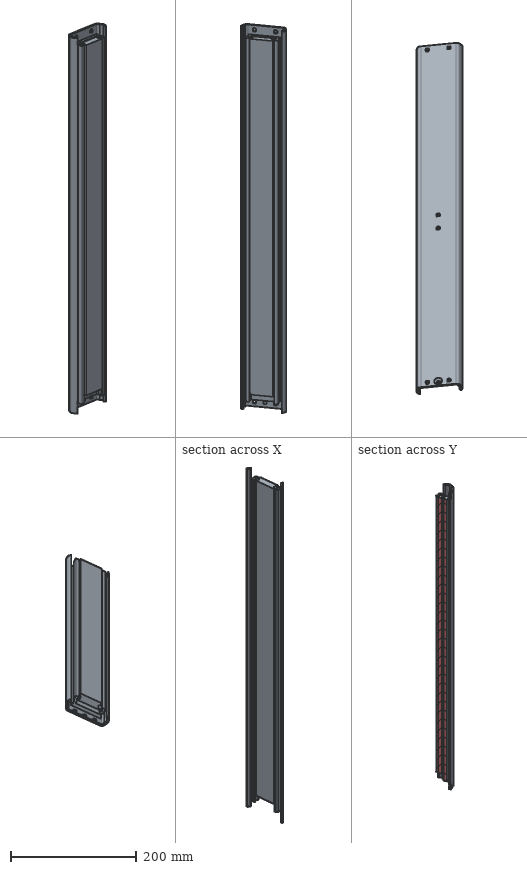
import cadquery as cq
import math


RAIL_LENGTH = 650.0
RAIL_WIDTH = 75.0
SHEET = 3.3
RACE_X = 12.3
RACE_RADIUS = 9.5
RACE_Y = RAIL_WIDTH / 2 - RACE_RADIUS
TRACK_RADIUS = 4.6
TRACK_Y = RAIL_WIDTH / 2 - SHEET - TRACK_RADIUS
FLANK_ANGLE = 27.0
LIP_ANGLE = 30.0
TRACK_END_ANGLE = 25.0
WEB_HALF_WIDTH = 28.4

HOLE_DIAMETER = 6.0
END_MARGIN = 8.0
END_HOLE_Y = 17.5
MIDDLE_HOLE_Z = (RAIL_LENGTH / 2, RAIL_LENGTH / 2 - 25.0)
SCREW_DIAMETER = 4.5
SCREW_HEAD_DIAMETER = 12.6
SCREW_HEAD_ANGLE = 100.0

MIDDLE_START = 15.0
MIDDLE_END = RAIL_LENGTH - MIDDLE_START
MIDDLE_SPAN = (MIDDLE_START, MIDDLE_END)
MIDDLE_BACK = 6.0
MIDDLE_FRONT = 23.8
MIDDLE_HALF_WIDTH = 26.4
CHANNEL_FLOOR = 12.0
CHANNEL_HALF_WIDTH = 20.6
TIP_FILLET = 1.2
GROOVE_RADIUS = 5.0
GROOVE_DEPTH = 2.0
GROOVE_Y = MIDDLE_HALF_WIDTH - GROOVE_DEPTH + GROOVE_RADIUS

BAR_START = 28.5
BAR_SPAN = (BAR_START, MIDDLE_END)
BAR_BACK = 14.0
BAR_FRONT = 26.0
BAR_HALF_WIDTH = 18.8

ROD_RADIUS = 3.2
ROD_X = 18.8
ROD_Y = 19.1


def polar(centre_x, centre_y, radius, degrees):
    """Point at an angle on a circle, the angle measured from +X towards +Y."""
    angle = math.radians(degrees)
    return (centre_x + radius * math.cos(angle), centre_y + radius * math.sin(angle))


def rail_half_section():
    """Half of the outer rail's section, on the +Y side of the centre line."""
    flank = math.radians(FLANK_ANGLE)
    flank_end_x = RACE_X - RACE_RADIUS * math.sin(flank)
    flank_end_y = RACE_Y + RACE_RADIUS * math.cos(flank)
    corner_radius = ((flank_end_y - WEB_HALF_WIDTH - flank_end_x * math.tan(flank))
                     / (math.cos(flank) - (1 - math.sin(flank)) * math.tan(flank)))
    corner_inside = corner_radius - SHEET
    shelf_y = WEB_HALF_WIDTH + corner_inside
    track_start_angle = 180 - math.degrees(math.asin((shelf_y - TRACK_Y) / TRACK_RADIUS))

    def on_corner(radius, degrees):
        return polar(corner_radius, WEB_HALF_WIDTH, radius, degrees)

    def on_race(degrees):
        return polar(RACE_X, RACE_Y, RACE_RADIUS, degrees)

    def on_track(degrees):
        return polar(RACE_X, TRACK_Y, TRACK_RADIUS, degrees)

    flank_normal = 90 + FLANK_ANGLE
    corner_middle = (180 + flank_normal) / 2
    return (
        cq.Workplane("XY")
        .moveTo(0, 0)
        .lineTo(0, WEB_HALF_WIDTH)
        .threePointArc(on_corner(corner_radius, corner_middle), on_corner(corner_radius, flank_normal))
        .lineTo(*on_race(flank_normal))
        .threePointArc(on_race(90), on_race(LIP_ANGLE))
        .lineTo(*on_track(TRACK_END_ANGLE))
        .threePointArc(on_track(90), on_track(track_start_angle))
        .lineTo(corner_radius, shelf_y)
        .threePointArc(on_corner(corner_inside, 135), on_corner(corner_inside, 180))
        .lineTo(SHEET, 0)
        .close()
    )


def web_plane():
    """Plane on the back of the web: local x runs along -Y, local y along Z, normal towards -X."""
    return cq.Workplane(cq.Plane(origin=(0, 0, 0), xDir=(0, -1, 0), normal=(-1, 0, 0)))


def make_outer_rail():
    half = rail_half_section().extrude(RAIL_LENGTH)
    rail = half.union(half.mirror("XZ")).clean()
    end_holes = [(y, z) for y in (-END_HOLE_Y, END_HOLE_Y) for z in (END_MARGIN, RAIL_LENGTH - END_MARGIN)]
    middle_holes = [(0, z) for z in MIDDLE_HOLE_Z]
    holes = web_plane().pushPoints(end_holes + middle_holes).circle(HOLE_DIAMETER / 2).extrude(-SHEET)
    rail = rail.cut(holes)
    head_depth = (SCREW_HEAD_DIAMETER - SCREW_DIAMETER) / 2 / math.tan(math.radians(SCREW_HEAD_ANGLE / 2))
    screw_centre = cq.Vector(0, 0, END_MARGIN)
    inward = cq.Vector(1, 0, 0)
    shank = cq.Solid.makeCylinder(SCREW_DIAMETER / 2, SHEET, screw_centre, inward)
    head = cq.Solid.makeCone(SCREW_HEAD_DIAMETER / 2, SCREW_DIAMETER / 2, head_depth, screw_centre, inward)
    return rail.cut(cq.Workplane(shank)).cut(cq.Workplane(head))


def block(x_range, half_width, z_range):
    """Box between two X values and two Z values, centred on Y = 0."""
    return (
        cq.Workplane("XY", origin=(0, 0, z_range[0]))
        .center((x_range[0] + x_range[1]) / 2, 0)
        .rect(x_range[1] - x_range[0], 2 * half_width)
        .extrude(z_range[1] - z_range[0])
    )


def rods(x, y, radius, z_range):
    """A pair of rods along Z at +y and -y."""
    return (
        cq.Workplane("XY", origin=(0, 0, z_range[0]))
        .pushPoints([(x, y), (x, -y)])
        .circle(radius)
        .extrude(z_range[1] - z_range[0])
    )


def make_middle_rail():
    rail = block((MIDDLE_BACK, MIDDLE_FRONT), MIDDLE_HALF_WIDTH, MIDDLE_SPAN)
    rail = rail.edges("|Z and >X").fillet(TIP_FILLET)
    channel = block((CHANNEL_FLOOR, MIDDLE_FRONT), CHANNEL_HALF_WIDTH, MIDDLE_SPAN)
    rail = rail.cut(channel)
    rail = rail.cut(rods(RACE_X, GROOVE_Y, GROOVE_RADIUS, MIDDLE_SPAN))
    return rail.cut(rods(ROD_X, ROD_Y, ROD_RADIUS, MIDDLE_SPAN))


def make_inner_bar():
    bar = block((BAR_BACK, BAR_FRONT), BAR_HALF_WIDTH, BAR_SPAN)
    return bar.cut(rods(ROD_X, ROD_Y, ROD_RADIUS, BAR_SPAN))


outer_rail = make_outer_rail()
middle_rail = make_middle_rail()
inner_bar = make_inner_bar()
bearing_rods = rods(ROD_X, ROD_Y, ROD_RADIUS, BAR_SPAN)

result = cq.Compound.makeCompound(
    [outer_rail.val(), middle_rail.val(), inner_bar.val(), *bearing_rods.vals()]
)